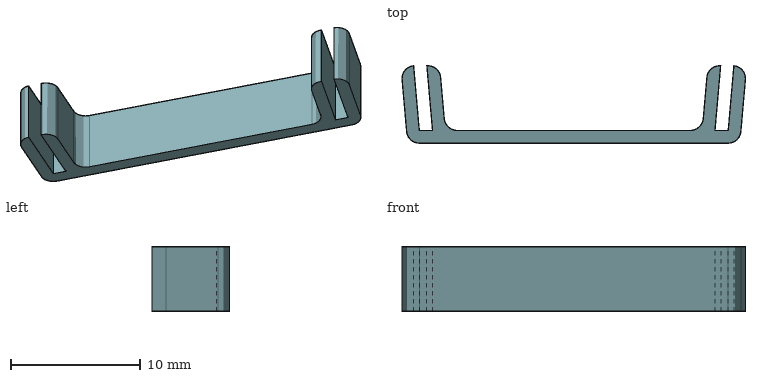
import cadquery as cq
import math

overall_length = 26.56
depth = 6.0
height = 5.0
base_thickness = 1.0
leaf_thickness = 1.0
slot_width = 1.0
corner_radius = 1.0
lean_angle = 5.0

lean_slope = math.tan(math.radians(lean_angle))
lean_cosine = math.cos(math.radians(lean_angle))
arm_thickness = 2 * leaf_thickness + slot_width

tip_centre_x = overall_length / 2 - corner_radius
tip_centre_y = depth - corner_radius
outer_x_at_base = tip_centre_x + corner_radius / lean_cosine - tip_centre_y * lean_slope


def leaning_x(inset, y):
    """X, on the +X arm, of the leaning plane lying `inset` inside the outer face."""
    return outer_x_at_base - inset / lean_cosine + y * lean_slope


def make_channel():
    """U-shaped channel with solid leaning arms and all its corners rounded."""
    right_half = [
        (leaning_x(0, 0), 0),
        (leaning_x(0, depth), depth),
        (leaning_x(arm_thickness, depth), depth),
        (leaning_x(arm_thickness, base_thickness), base_thickness),
    ]
    left_half = [(-x, y) for x, y in reversed(right_half)]
    channel = cq.Workplane("XY").polyline(right_half + left_half).close().extrude(height)
    return channel.edges("|Z").fillet(corner_radius)


def make_slot(side):
    """Leaning slot that splits one arm into two leaves; side is +1 or -1 along X."""
    outer_inset = leaf_thickness
    inner_inset = leaf_thickness + slot_width
    outline = [
        (side * leaning_x(outer_inset, base_thickness), base_thickness),
        (side * leaning_x(outer_inset, depth), depth),
        (side * leaning_x(inner_inset, depth), depth),
        (side * leaning_x(inner_inset, base_thickness), base_thickness),
    ]
    return cq.Workplane("XY").polyline(outline).close().extrude(height)


result = make_channel()
for side in (1, -1):
    result = result.cut(make_slot(side))